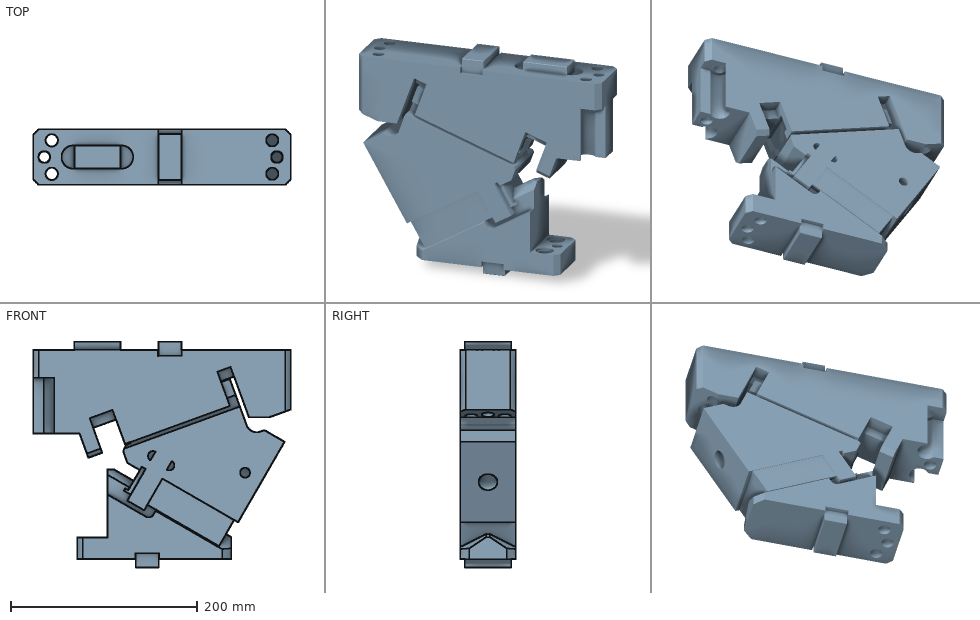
import cadquery as cq
import math

WIDTH = 60.0
HALF = WIDTH / 2
FAR = 400.0

KEY_PROUD = 9.0
KEY_WIDTH = 25.0
KEY_LENGTH = 50.0
KEY_SEAT_DEPTH = 6.5
KEY_SEAT_WIDTH = KEY_WIDTH + 0.4
KEY_CHAMFER = 0.5
END_CHAMFER = 6.0
BOLT_DIAMETER = 13.0
BOLT_INSET = 20.0
BOLT_Y = 18.0
DOWEL_DIAMETER = 12.0
DOWEL_INSET = 12.0
FRONT_DOWEL_INSET = 15.0
DOWEL_RELIEF_DIAMETER = 13.0
DOWEL_FIT_DEPTH = 4.5

LENGTH = 277.0
HOUSING_TOP = 225.0
HOUSING_REAR_BOTTOM = 135.0
HOUSING_FRONT_BOTTOM = 152.5
FRONT_BEVEL_X = 254.0
CROSS_KEY_X = 147.0
LONG_KEY_X = 69.0
LONG_KEY_SLOT_LENGTH = 77.0
LONG_KEY_SLOT_DEPTH = 5.0
RELIEF_TOP = 195.0
RELIEF_DEPTH = 22.5
RELIEF_WEB = 24.0
RELIEF_RADIUS = 10.5

DRIVE_ANGLE = 20.0
DRIVE_FACE_UP = 82.5
SLIDER_TOP_UP = 78.2
NOTCH_TOP_UP = 121.6
WEB_BOTTOM_UP = 110.5
WEB_WIDTH = 30.0
ARM_REAR = 93.0
ARM_FRONT = 109.0
ARM_TIP_UP = 82.0
ARM_CHAMFER = 5.0
DRIVE_REAR = 135.0
DRIVE_FRONT = 255.0
FRONT_NOTCH_END = 270.0

SLIDER_REAR = 130.5
SLIDER_REAR_UP = 76.0
SLIDER_TOP_REAR = 132.7
RAIL_STEP_UP = 81.5
RAIL_REAR = 141.0
RAIL_FRONT = 265.0
STEM_WIDTH = 31.0
HEAD_WIDTH = 44.0
HEAD_BOTTOM_UP = 91.5
HEAD_TOP_UP = 110.0

WORK_ANGLE = 30.0
ROOF_ANGLE = 30.0
ROOF_EDGE_UP = 110.9
RIDGE_HALF = 2.0
RIDGE_UP = ROOF_EDGE_UP + (HALF - RIDGE_HALF) * math.tan(math.radians(ROOF_ANGLE))

BASE_REAR = 47.3
BASE_FRONT = 213.0
BASE_FRONT_CHAMFER = 10.0
FLANGE_TOP = 23.6
POST_REAR = 79.8
POST_TOP = 96.7
BASE_KEY_X = 122.7
COUNTERBORE_DIAMETER = 20.0
COUNTERBORE_DEPTH = 2.5
RIB_WIDTH = 33.2
POCKET_FLOOR_UP = 100.2
POCKET_END = 88.0
POCKET_RADIUS = 6.0

SLIDER_FRONT = 171.0
NOSE_TOP_UP = 244.5
SLIDER_TAIL_UP = 140.2
SKIRT_TOP_UP = 144.5
SKIRT_BOTTOM_UP = 112.1
SKIRT_FRONT = 166.0
SKIRT_SETBACK = 0.4
BRACKET_REAR = 56.2
BRACKET_FRONT = 77.0
BRACKET_BOTTOM_UP = 105.2
STRIP_REAR = 51.4
STRIP_WIDTH = 45.4
FOOT_REAR = 47.6
FOOT_BOTTOM_UP = 112.6
FOOT_TOP_UP = 115.4
SCALLOP_START_Z = 144.8
SCALLOP_LOW = (237.5, 136.9)
SCALLOP_END = (243.0, 136.9)
NOSE_START_X = 248.5
LOCK_HOLE_DIAMETER = 10.8
LOCK_HOLE_DEPTH = 10.0
LOCK_HOLE_ALONG = 66.2
LOCK_HOLE_UP = 160.5
LOCK_BAR_WIDTH = 20.2
PIN_HOLE_DIAMETER = 10.6
PIN_HOLE_X = 227.8
PIN_HOLE_Z = 93.0
SPRING_BORE_DIAMETER = 20.0
SPRING_BORE_LENGTH = 80.0


def side_plane(angle):
    """Side plane whose local x runs along a direction tilted up from +X by the angle."""
    tilt = math.radians(angle)
    return cq.Plane(origin=(0, 0, 0), xDir=(math.cos(tilt), 0, math.sin(tilt)), normal=(0, -1, 0))


SIDE = side_plane(0)
DRIVE = side_plane(DRIVE_ANGLE)
WORK = side_plane(-WORK_ANGLE)


def point(plane, along, up):
    """X and Z of a position given in a tilted side plane."""
    place = plane.toWorldCoords((along, up, 0))
    return (place.x, place.z)


def on_work_line(x, up):
    """X and Z of the place at x on the line parallel to the work direction."""
    tilt = math.radians(WORK_ANGLE)
    return (x, (up - x * math.sin(tilt)) / math.cos(tilt))


def slab(points, width, plane=SIDE):
    """Side outline extruded symmetrically about Y = 0."""
    return cq.Workplane(plane).polyline(points).close().extrude(width / 2, both=True)


def bar(plane, along, up, width):
    """Symmetric block between two places along and two heights in a side plane."""
    return slab([(along[0], up[0]), (along[1], up[0]), (along[1], up[1]), (along[0], up[1])], width, plane)


def both_sides(plane, along, up, inner_width):
    """Pair of cutting blocks outside the inner width."""
    return bar(plane, along, up, WIDTH + 2).cut(bar(plane, along, up, inner_width))


def plan_block(rear, front, rear_chamfer, front_chamfer):
    """Tall block with the plan outline of a mounting plate with bevelled corners."""
    half_outline = [
        (rear, HALF - rear_chamfer),
        (rear + rear_chamfer, HALF),
        (front - front_chamfer, HALF),
        (front, HALF - front_chamfer),
    ]
    mirrored = [(x, -y) for x, y in reversed(half_outline)]
    return cq.Workplane().polyline(half_outline + mirrored).close().extrude(FAR)


def upright(diameter, places, bottom, top):
    """Vertical cylinders."""
    floor = cq.Workplane().workplane(offset=bottom)
    return floor.pushPoints(places).circle(diameter / 2).extrude(top - bottom)


def mounting_holes(end, inward, dowel_inset, top, bottom):
    """Two bolt holes and a relieved dowel hole near one end; inward is +1 or -1 along X."""
    bolt_x = end + inward * BOLT_INSET
    dowel = [(end + inward * dowel_inset, 0)]
    holes = upright(BOLT_DIAMETER, [(bolt_x, -BOLT_Y), (bolt_x, BOLT_Y)], bottom, top)
    holes = holes.union(upright(DOWEL_DIAMETER, dowel, bottom, top))
    return holes.union(upright(DOWEL_RELIEF_DIAMETER, dowel, bottom, top - DOWEL_FIT_DEPTH))


def block(center_x, size_x, size_y, bottom, top):
    """Upright block centered on Y = 0."""
    return cq.Workplane().box(size_x, size_y, top - bottom).translate((center_x, 0, (top + bottom) / 2))


def rail():
    """T-shaped guide rail, stem below and head above, with a low step continuing the rear bevel."""
    along = (RAIL_REAR, RAIL_FRONT)
    stem = bar(DRIVE, along, (SLIDER_REAR_UP, HEAD_BOTTOM_UP), STEM_WIDTH)
    bevel_run = (SLIDER_TOP_REAR - SLIDER_REAR) / (SLIDER_TOP_UP - SLIDER_REAR_UP)
    step_rear = SLIDER_REAR + bevel_run * (RAIL_STEP_UP - SLIDER_REAR_UP)
    step_side = [
        (SLIDER_REAR, SLIDER_REAR_UP),
        (RAIL_FRONT, SLIDER_REAR_UP),
        (RAIL_FRONT, RAIL_STEP_UP),
        (step_rear, RAIL_STEP_UP),
    ]
    step = slab(step_side, STEM_WIDTH, DRIVE)
    return stem.union(step).union(bar(DRIVE, along, (HEAD_BOTTOM_UP, HEAD_TOP_UP), HEAD_WIDTH))


def rail_channel():
    """Matching T-shaped channel, open at both ends and at the drive face."""
    along = (ARM_FRONT, FRONT_NOTCH_END)
    stem = bar(DRIVE, along, (SLIDER_TOP_UP, HEAD_BOTTOM_UP), STEM_WIDTH)
    head = bar(DRIVE, along, (HEAD_BOTTOM_UP, HEAD_TOP_UP), HEAD_WIDTH)
    return stem.union(head)


def housing_side():
    """Side outline with the rear arm and the two notches beside the drive face."""
    tilt = math.radians(DRIVE_ANGLE)
    arm_top_x = (ARM_REAR - HOUSING_REAR_BOTTOM * math.sin(tilt)) / math.cos(tilt)
    notch_bottom_x = (FRONT_NOTCH_END - HOUSING_FRONT_BOTTOM * math.sin(tilt)) / math.cos(tilt)
    bevel_rise = (LENGTH - FRONT_BEVEL_X) * math.tan(tilt)
    return [
        (0, HOUSING_TOP),
        (0, HOUSING_REAR_BOTTOM),
        (arm_top_x, HOUSING_REAR_BOTTOM),
        point(DRIVE, ARM_REAR, ARM_TIP_UP),
        point(DRIVE, ARM_FRONT, ARM_TIP_UP),
        point(DRIVE, ARM_FRONT, NOTCH_TOP_UP),
        point(DRIVE, DRIVE_REAR, NOTCH_TOP_UP),
        point(DRIVE, DRIVE_REAR, DRIVE_FACE_UP),
        point(DRIVE, DRIVE_FRONT, DRIVE_FACE_UP),
        point(DRIVE, DRIVE_FRONT, NOTCH_TOP_UP),
        point(DRIVE, FRONT_NOTCH_END, NOTCH_TOP_UP),
        (notch_bottom_x, HOUSING_FRONT_BOTTOM),
        (FRONT_BEVEL_X, HOUSING_FRONT_BOTTOM),
        (LENGTH, HOUSING_FRONT_BOTTOM + bevel_rise),
        (LENGTH, HOUSING_TOP),
    ]


def arm_chamfers():
    """Wedges that bevel the tip of the hanging arm at both sides."""
    drive_dir = DRIVE.xDir
    section = cq.Plane(origin=(0, 0, 0), xDir=(0, -1, 0), normal=(-drive_dir.x, 0, -drive_dir.z))
    wedges = None
    for side in (-1, 1):
        corner = [
            (side * HALF, ARM_TIP_UP),
            (side * (HALF - ARM_CHAMFER), ARM_TIP_UP),
            (side * HALF, ARM_TIP_UP + ARM_CHAMFER),
        ]
        wedge = cq.Workplane(section).workplane(offset=-ARM_FRONT).polyline(corner).close()
        wedge = wedge.extrude(ARM_FRONT - ARM_REAR)
        wedges = wedge if wedges is None else wedges.union(wedge)
    return wedges


def bolt_reliefs():
    """Recesses under the rear bolt holes, leaving a central web."""
    height = RELIEF_TOP - HOUSING_REAR_BOTTOM
    recess = (
        cq.Workplane()
        .box(RELIEF_DEPTH, WIDTH, height, centered=(False, True, False))
        .cut(cq.Workplane().box(RELIEF_DEPTH, RELIEF_WEB, height, centered=(False, True, False)))
        .translate((0, 0, HOUSING_REAR_BOTTOM))
    )
    places = [(BOLT_INSET, -BOLT_Y), (BOLT_INSET, BOLT_Y)]
    return recess.union(upright(2 * RELIEF_RADIUS, places, HOUSING_REAR_BOTTOM, RELIEF_TOP))


def make_housing():
    """Upper housing with its two keys."""
    body = slab(housing_side(), WIDTH).intersect(plan_block(0, LENGTH, END_CHAMFER, END_CHAMFER))
    webs = bar(DRIVE, (ARM_FRONT, DRIVE_REAR), (WEB_BOTTOM_UP, NOTCH_TOP_UP), WEB_WIDTH)
    webs = webs.union(bar(DRIVE, (DRIVE_FRONT, FRONT_NOTCH_END), (WEB_BOTTOM_UP, NOTCH_TOP_UP), WEB_WIDTH))
    body = body.union(webs).cut(rail_channel()).cut(arm_chamfers()).cut(bolt_reliefs())
    body = body.cut(mounting_holes(0, 1, DOWEL_INSET, HOUSING_TOP, 0))
    body = body.cut(mounting_holes(LENGTH, -1, FRONT_DOWEL_INSET, HOUSING_TOP, 0))

    slot_bottom = HOUSING_TOP - LONG_KEY_SLOT_DEPTH
    slot = cq.Workplane().workplane(offset=slot_bottom).center(LONG_KEY_X, 0)
    body = body.cut(slot.slot2D(LONG_KEY_SLOT_LENGTH, KEY_WIDTH).extrude(LONG_KEY_SLOT_DEPTH))
    seat_bottom = HOUSING_TOP - KEY_SEAT_DEPTH
    body = body.cut(block(CROSS_KEY_X, KEY_SEAT_WIDTH, WIDTH, seat_bottom, HOUSING_TOP))

    key_top = HOUSING_TOP + KEY_PROUD
    long_key = block(LONG_KEY_X, KEY_LENGTH, KEY_WIDTH, slot_bottom, key_top)
    cross_key = block(CROSS_KEY_X, KEY_WIDTH, KEY_LENGTH, seat_bottom, key_top)
    for key in (long_key, cross_key):
        body = body.union(key.faces(">Z").chamfer(KEY_CHAMFER))
    return body


def under_roof(bottom_up):
    """Everything under the V-shaped guide roof, down to a height square to the work direction."""
    forward = WORK.xDir
    section = cq.Plane(origin=(0, 0, 0), xDir=(0, 1, 0), normal=(forward.x, 0, forward.z))
    edge_half = RIDGE_HALF + (RIDGE_UP - bottom_up) / math.tan(math.radians(ROOF_ANGLE))
    outline = [
        (-edge_half, bottom_up),
        (-RIDGE_HALF, RIDGE_UP),
        (RIDGE_HALF, RIDGE_UP),
        (edge_half, bottom_up),
    ]
    return cq.Workplane(section).polyline(outline).close().extrude(FAR, both=True)


def base_pockets():
    """Side pockets that leave the central rib and give room to the slider bracket."""
    up = (POCKET_FLOOR_UP, POCKET_FLOOR_UP + FAR)
    pocket = bar(WORK, (-FAR, POCKET_END), up, WIDTH + 2)
    corner = cq.NearestToPointSelector(WORK.toWorldCoords((POCKET_END, POCKET_FLOOR_UP, 0)).toTuple())
    pocket = pocket.edges("|Y").edges(corner).fillet(POCKET_RADIUS)
    return pocket.cut(bar(WORK, (-FAR, FAR), up, RIB_WIDTH))


def make_base():
    """Base with its flange, guide roof and key."""
    side = [
        (BASE_REAR, 0),
        (BASE_FRONT, 0),
        (BASE_FRONT, POST_TOP),
        (POST_REAR, POST_TOP),
        (POST_REAR, FLANGE_TOP),
        (BASE_REAR, FLANGE_TOP),
    ]
    body = slab(side, WIDTH)
    body = body.intersect(plan_block(BASE_REAR, BASE_FRONT, END_CHAMFER, BASE_FRONT_CHAMFER))
    body = body.intersect(under_roof(-FAR)).cut(base_pockets())
    body = body.cut(mounting_holes(BASE_REAR, 1, DOWEL_INSET, FLANGE_TOP, 0))
    bolt_x = BASE_REAR + BOLT_INSET
    bolts = [(bolt_x, -BOLT_Y), (bolt_x, BOLT_Y)]
    body = body.cut(upright(COUNTERBORE_DIAMETER, bolts, FLANGE_TOP - COUNTERBORE_DEPTH, FLANGE_TOP))
    body = body.cut(block(BASE_KEY_X, KEY_SEAT_WIDTH, WIDTH, 0, KEY_SEAT_DEPTH))
    key = block(BASE_KEY_X, KEY_WIDTH, KEY_LENGTH, -KEY_PROUD, KEY_SEAT_DEPTH)
    return body.union(key.faces("<Z").chamfer(KEY_CHAMFER))


def slider_body():
    """Cam block between the drive face and the skirts."""
    drive_tilt = math.radians(DRIVE_ANGLE)
    turn = math.radians(DRIVE_ANGLE + WORK_ANGLE)
    tail_rear = (SLIDER_REAR - SLIDER_TAIL_UP * math.sin(turn)) / math.cos(turn)
    scallop_x = (RAIL_FRONT - SCALLOP_START_Z * math.sin(drive_tilt)) / math.cos(drive_tilt)
    return (
        cq.Workplane(SIDE)
        .moveTo(*point(DRIVE, SLIDER_TOP_REAR, SLIDER_TOP_UP))
        .lineTo(*point(DRIVE, RAIL_FRONT, SLIDER_TOP_UP))
        .lineTo(scallop_x, SCALLOP_START_Z)
        .threePointArc(SCALLOP_LOW, SCALLOP_END)
        .lineTo(*on_work_line(NOSE_START_X, NOSE_TOP_UP))
        .lineTo(*point(WORK, SLIDER_FRONT, NOSE_TOP_UP))
        .lineTo(*point(WORK, SLIDER_FRONT, SKIRT_TOP_UP))
        .lineTo(*point(WORK, BRACKET_REAR, SKIRT_TOP_UP))
        .lineTo(*point(WORK, BRACKET_REAR, SLIDER_TAIL_UP))
        .lineTo(*point(WORK, tail_rear, SLIDER_TAIL_UP))
        .lineTo(*point(DRIVE, SLIDER_REAR, SLIDER_REAR_UP))
        .close()
        .extrude(HALF, both=True)
    )


def lock_holes():
    """Two blind round holes in the side face, each cut off by a straight bar between them."""
    holes = None
    for side in (-1, 1):
        along = LOCK_HOLE_ALONG + side * LOCK_BAR_WIDTH / 2
        hole = cq.Workplane(WORK).workplane(offset=HALF - LOCK_HOLE_DEPTH).center(along, LOCK_HOLE_UP)
        hole = hole.circle(LOCK_HOLE_DIAMETER / 2).extrude(LOCK_HOLE_DEPTH)
        holes = hole if holes is None else holes.union(hole)
    half_bar = LOCK_BAR_WIDTH / 2
    middle = (LOCK_HOLE_ALONG - half_bar, LOCK_HOLE_ALONG + half_bar)
    height = (LOCK_HOLE_UP - LOCK_HOLE_DIAMETER, LOCK_HOLE_UP + LOCK_HOLE_DIAMETER)
    return holes.cut(bar(WORK, middle, height, WIDTH))


def spring_bore():
    """Bore from the front face, with a pin hole reaching it from the side."""
    forward = WORK.xDir
    axis = WORK.toLocalCoords(cq.Vector(PIN_HOLE_X, 0, PIN_HOLE_Z))
    mouth = WORK.toWorldCoords((SLIDER_FRONT, axis.y, 0))
    bore_plane = cq.Plane(origin=mouth, xDir=(0, 1, 0), normal=(-forward.x, 0, -forward.z))
    bore = cq.Workplane(bore_plane).circle(SPRING_BORE_DIAMETER / 2).extrude(SPRING_BORE_LENGTH)
    pin = cq.Workplane(SIDE).center(PIN_HOLE_X, PIN_HOLE_Z).circle(PIN_HOLE_DIAMETER / 2).extrude(HALF)
    return bore.union(pin)


def make_slider():
    """Cam slider with its rail, skirts, brackets and rear strip."""
    body = slider_body().union(rail())
    skirt_up = (SKIRT_BOTTOM_UP, SKIRT_TOP_UP)
    body = body.union(bar(WORK, (BRACKET_FRONT, SKIRT_FRONT), skirt_up, WIDTH - 2 * SKIRT_SETBACK))
    body = body.union(bar(WORK, (BRACKET_REAR, BRACKET_FRONT), (BRACKET_BOTTOM_UP, SKIRT_TOP_UP), WIDTH))

    strip = (STRIP_REAR, BRACKET_REAR)
    strip_up = (FOOT_BOTTOM_UP, SKIRT_TOP_UP)
    body = body.cut(both_sides(WORK, strip, strip_up, STRIP_WIDTH))
    body = body.union(bar(WORK, strip, strip_up, STRIP_WIDTH))
    body = body.union(bar(WORK, (FOOT_REAR, BRACKET_REAR), (FOOT_BOTTOM_UP, FOOT_TOP_UP), STRIP_WIDTH))

    everywhere = (-FAR, FAR)
    roof_room = under_roof(SKIRT_BOTTOM_UP).intersect(bar(WORK, (BRACKET_FRONT, FAR), everywhere, WIDTH + 2))
    rib_room = under_roof(-FAR).intersect(bar(WORK, (-FAR, BRACKET_FRONT), everywhere, RIB_WIDTH))
    body = body.cut(roof_room).cut(rib_room)
    return body.cut(lock_holes()).cut(spring_bore())


housing = make_housing()
slider = make_slider()
base = make_base()
result = cq.Compound.makeCompound([housing.solids().val(), slider.solids().val(), base.solids().val()])